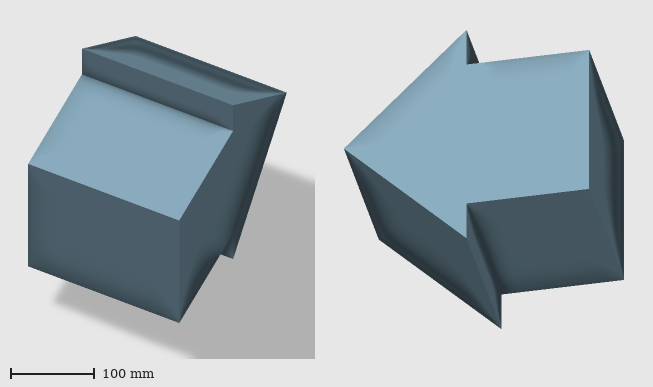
import cadquery as cq

length = 300.0
head_span = length
head_length = length / 2
shaft_height = length * 2 / 3
width = shaft_height

head_base_y = length / 2 - head_length
tail_y = -length / 2
tip_y = length / 2

outline = [
    (tail_y, -shaft_height / 2),
    (head_base_y, -shaft_height / 2),
    (head_base_y, -head_span / 2),
    (tip_y, 0),
    (head_base_y, head_span / 2),
    (head_base_y, shaft_height / 2),
    (tail_y, shaft_height / 2),
]

result = cq.Workplane("YZ").polyline(outline).close().extrude(width / 2, both=True)